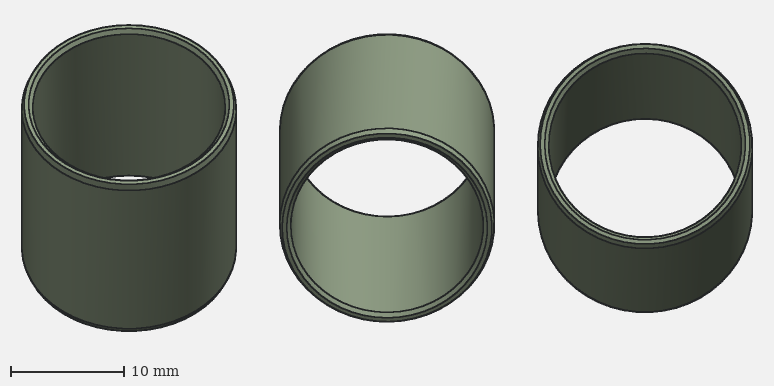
import cadquery as cq
import math

length = 20.0
outer_diameter = 19.0
wall = 0.98
outer_chamfer_height = 0.6
outer_chamfer_angle = 20.0
inner_chamfer = 0.35

outer_radius = outer_diameter / 2
inner_radius = outer_radius - wall
outer_chamfer_width = outer_chamfer_height * math.tan(math.radians(outer_chamfer_angle))
half_length = length / 2

upper_wall = [
    (inner_radius, half_length - inner_chamfer),
    (inner_radius + inner_chamfer, half_length),
    (outer_radius - outer_chamfer_width, half_length),
    (outer_radius, half_length - outer_chamfer_height),
]
lower_wall = [(radius, -height) for radius, height in reversed(upper_wall)]

result = (
    cq.Workplane("XZ")
    .polyline(upper_wall + lower_wall)
    .close()
    .revolve(360, (0, 0, 0), (0, 1, 0))
)